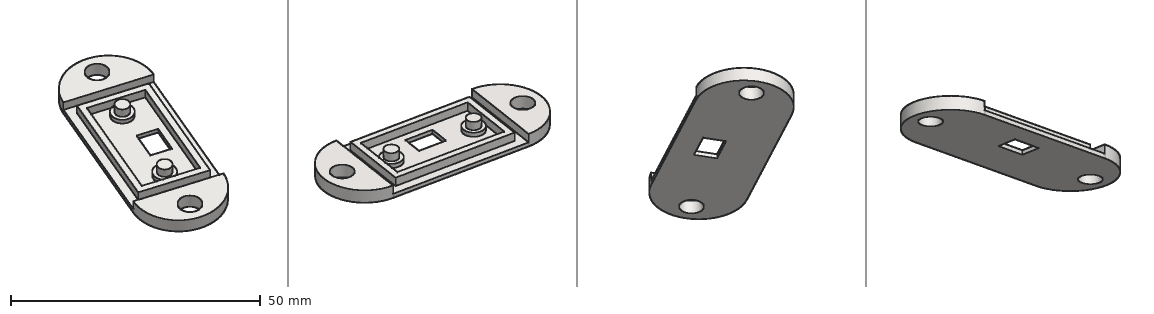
import cadquery as cq

length = 53.0
width = 20.0
body_height = 3.0
floor_thickness = 1.0
straight_length = length - width

rim_length = 29.0
rim_width = 15.9
rim_wall = 1.5

hole_diameter = 5.0
hole_offset = 22.0

shoulder_diameter = 5.0
shoulder_height = 1.0
pin_diameter = 3.2
pin_top = 4.0
pin_offset = 10.0

window_length = 6.55
window_width = 4.75


def block(size_x, size_y, bottom, top):
    """Box centred on the Z axis between two heights."""
    return cq.Workplane("XY").workplane(offset=bottom).rect(size_x, size_y).extrude(top - bottom)


def mirrored_cylinders(offset, diameter, bottom, top):
    """Pair of upright cylinders at +offset and -offset along X."""
    centers = [(-offset, 0), (offset, 0)]
    plane = cq.Workplane("XY").workplane(offset=bottom)
    return plane.pushPoints(centers).circle(diameter / 2).extrude(top - bottom)


body = cq.Workplane("XY").slot2D(length, width).extrude(body_height)
body = body.cut(block(straight_length, width, floor_thickness, body_height))

rim = block(rim_length, rim_width, 0, body_height)
rim_opening = block(rim_length - 2 * rim_wall, rim_width - 2 * rim_wall, floor_thickness, body_height)
body = body.union(rim).cut(rim_opening)

shoulder_top = floor_thickness + shoulder_height
body = body.union(mirrored_cylinders(pin_offset, shoulder_diameter, 0, shoulder_top))
body = body.union(mirrored_cylinders(pin_offset, pin_diameter, 0, pin_top))

body = body.cut(mirrored_cylinders(hole_offset, hole_diameter, 0, body_height))
window = block(window_length, window_width, 0, floor_thickness).translate((0, window_width / 2, 0))
result = body.cut(window)